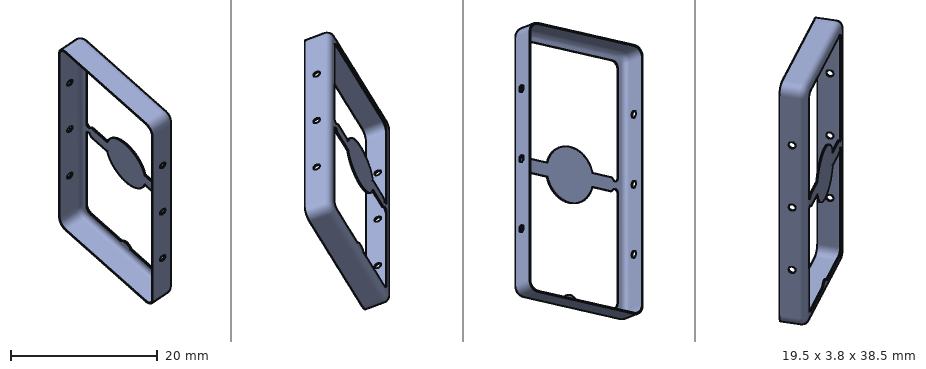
import cadquery as cq

width = 19.5
depth = 3.8
height = 38.5
wall = 0.2
corner_radius = 1.5
floor_edge_radius = 0.92

rim_width = 1.5
window_width = width - 2 * rim_width
window_height = height - 2 * rim_width
window_radius = 1.0

disc_diameter = 8.0
bar_height = 2.0
neck_height = 1.08
neck_root_radius = 0.5
neck_length = 0.6
neck_taper_length = 0.45

bump_width = 1.92
bump_rise = 0.58

hole_diameter = 1.0
hole_pitch = 10.0
hole_setback = 2.0

back_y = depth / 2
floor_y = back_y - wall


def rounded_block(block_width, block_height, front_y, rear_y, radius):
    """Block between two Y positions, with rounded corners in XZ."""
    return (
        cq.Workplane("XZ", origin=(0, rear_y, 0))
        .rect(block_width, block_height)
        .extrude(rear_y - front_y)
        .edges("|Y")
        .fillet(radius)
    )


def floor_sketch():
    """XZ workplane on the outer face of the floor; extrusion runs towards -Y."""
    return cq.Workplane("XZ", origin=(0, back_y, 0))


def make_shell():
    outer = rounded_block(width, height, -back_y, back_y, corner_radius)
    outer = outer.faces(">Y").edges().fillet(floor_edge_radius)
    cavity = rounded_block(
        width - 2 * wall, height - 2 * wall, -back_y, floor_y, corner_radius - wall
    )
    cavity = cavity.faces(">Y").edges().fillet(floor_edge_radius - wall)
    window = rounded_block(window_width, window_height, -back_y, back_y, window_radius)
    return outer.cut(cavity).cut(window)


def make_half_bar(side):
    """Bar from the disc centre to the window edge at side = -1 or +1."""
    edge_x = window_width / 2
    root_x = edge_x + rim_width - floor_edge_radius
    neck_end_x = edge_x - neck_length
    shoulder_x = neck_end_x - neck_taper_length
    half_bar = bar_height / 2
    half_neck = neck_height / 2
    profile = [
        (0, half_bar),
        (shoulder_x, half_bar),
        (neck_end_x, half_neck),
        (edge_x, half_neck),
        (root_x, half_neck),
    ]
    mirrored_profile = [(x, -z) for x, z in reversed(profile)]
    outline = [(side * x, z) for x, z in profile + mirrored_profile]
    return floor_sketch().polyline(outline).close().extrude(wall)


def make_bump():
    sill_z = -window_height / 2
    base_z = sill_z - rim_width + floor_edge_radius
    return (
        floor_sketch()
        .moveTo(-bump_width / 2, base_z)
        .lineTo(-bump_width / 2, sill_z)
        .threePointArc((0, sill_z + bump_rise), (bump_width / 2, sill_z))
        .lineTo(bump_width / 2, base_z)
        .close()
        .extrude(wall)
    )


def make_holes():
    return (
        cq.Workplane("YZ", origin=(-width / 2, back_y - hole_setback, 0))
        .rarray(0.4, hole_pitch, 1, 3)
        .circle(hole_diameter / 2)
        .extrude(width)
    )


disc = floor_sketch().circle(disc_diameter / 2).extrude(wall)
result = make_shell().union(disc).union(make_bump())
for side in (-1, 1):
    result = result.union(make_half_bar(side))

for side in (-1, 1):
    root_x = side * window_width / 2
    neck_roots = cq.selectors.BoxSelector(
        (root_x - wall, floor_y - wall, -neck_height),
        (root_x + wall, back_y + wall, neck_height),
    )
    result = result.edges("|Y").edges(neck_roots).fillet(neck_root_radius)

result = result.cut(make_holes())